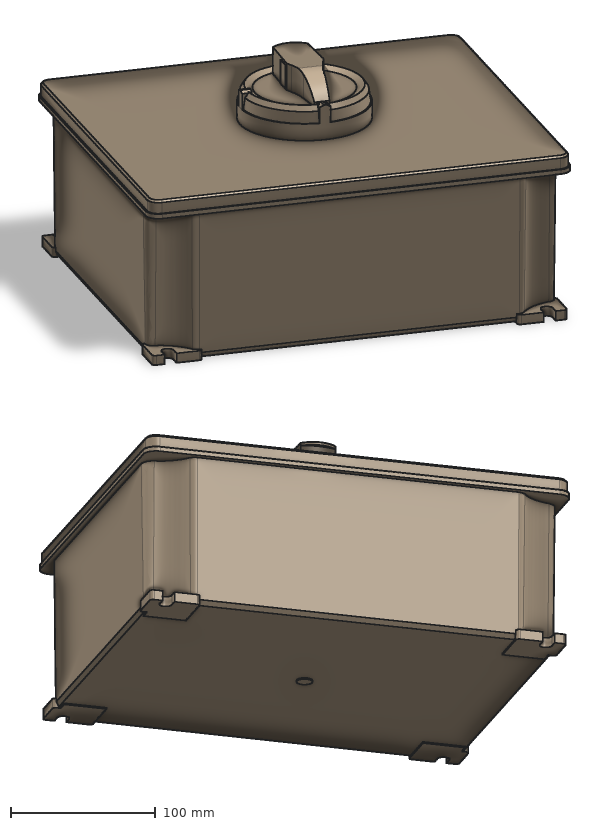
import cadquery as cq
import math

LENGTH_X = 257.0
LENGTH_Y = 307.2
HEIGHT = 163.0

LID_BOTTOM = 108.5
LID_TOP = 121.3
FLANGE_HEIGHT = 3.5
LID_INSET = 1.2
LID_CORNER_RADIUS = 9.2
LID_EDGE_CHAMFER = 1.5

BODY_HALF_X = 124.0
BODY_HALF_Y = 149.3
BODY_BOTTOM = 1.0
BODY_DRAFT = 1.2
BOTTOM_CHAMFER_DEPTH = 1.8
BOTTOM_CHAMFER_HEIGHT = 3.7

WALL_END_X = 100.5
WALL_END_Y = 115.5
FRONT_LIP_TOP = (108.7, 142.5)
FRONT_LIP_BOTTOM = (106.3, 142.5)
SIDE_LIP_TOP = (122.0, 121.0)
SIDE_LIP_BOTTOM = (120.7, 120.0)
HOLLOW_DEPTH = 2.5
FRONT_LIP_BULGE = 1.8
SIDE_LIP_BULGE = 0.5
CUTTER_MARGIN = 3.0

FOOT_OUTER_X = 125.5
FOOT_OUTER_Y = 150.2
FOOT_INNER_X = 100.0
FOOT_INNER_Y = 114.3
FOOT_HEIGHT = 7.0
FOOT_CORNER_RADIUS = 2.5
SLOT_Y = 137.3
SLOT_WIDTH = 8.5
SLOT_DEPTH = 11.0
PAD_INNER_X = 92.2
PAD_OUTER_Y = 145.0
CENTRE_PAD_DIAMETER = 11.0

COLLAR_RADIUS = 46.7
COLLAR_STEP_Z = 133.5
COLLAR_SHOULDER_Z = 142.0
COLLAR_TOP = 146.0
RING_BASE_RADIUS = 45.8
RING_SHOULDER_RADIUS = 44.5
RIM_RADIUS = 41.8
DIAL_RADIUS = 36.0
DIAL_DEPTH = 2.5
MARKER_WIDTH = 8.0
MARKER_INNER_RADIUS = 39.3
MARKER_EAVES_Z = 145.3
MARKER_TOP = 146.8
MARKER_RIDGE_WIDTH = 1.8

HANDLE_END_X = -34.5
HANDLE_LIP_X = -37.2
HANDLE_CORNER_X = -32.0
HANDLE_HALF_WIDTH = 12.5
HANDLE_LIP_HEIGHT = 2.0
SHOULDER_X = 1.5
NECK_X = 13.0
NECK_HALF_WIDTH = 8.3
NECK_FILLET = 46.0
NOSE_X = MARKER_INNER_RADIUS
NOSE_HALF_WIDTH = 5.5
NOSE_BULGE = 3.0
GRIP_START_X = -12.3
GRIP_END_X = -1.5
GRIP_THICKNESS = 1.0
GRIP_TOP_GAP = 2.0


def block(x_range, y_range, z_range):
    """Box spanning the given ranges."""
    sizes = [end - start for start, end in (x_range, y_range, z_range)]
    return cq.Workplane("XY").box(*sizes, centered=False).translate(
        (x_range[0], y_range[0], z_range[0])
    )


def in_four_corners(shape):
    """The shape from the +X +Y corner together with its mirror images."""
    pair = shape.union(shape.mirror("YZ"))
    return pair.union(pair.mirror("XZ"))


def bulged_middle(start, end, bulge):
    """Middle of an arc from start to end, bulging to the left of the chord."""
    run_x = end[0] - start[0]
    run_y = end[1] - start[1]
    chord = math.hypot(run_x, run_y)
    return (
        (start[0] + end[0]) / 2 - bulge * run_y / chord,
        (start[1] + end[1]) / 2 + bulge * run_x / chord,
    )


def make_lid():
    flange = (
        cq.Workplane("XY", origin=(0, 0, LID_BOTTOM))
        .rect(LENGTH_X, LENGTH_Y)
        .extrude(FLANGE_HEIGHT)
        .edges("|Z")
        .fillet(LID_CORNER_RADIUS)
    )
    cover = (
        cq.Workplane("XY", origin=(0, 0, LID_BOTTOM))
        .rect(LENGTH_X - 2 * LID_INSET, LENGTH_Y - 2 * LID_INSET)
        .extrude(LID_TOP - LID_BOTTOM)
        .edges("|Z")
        .fillet(LID_CORNER_RADIUS - LID_INSET)
        .faces(">Z")
        .edges()
        .chamfer(LID_EDGE_CHAMFER)
    )
    return flange.union(cover)


def corner_outline(height, inset, front_lip, side_lip):
    """Closed wire around the space outside the +X +Y body corner at one height."""
    wall_end_front = (WALL_END_X, BODY_HALF_Y - inset)
    wall_end_side = (BODY_HALF_X - inset, WALL_END_Y)
    outside_x = BODY_HALF_X + CUTTER_MARGIN
    outside_y = BODY_HALF_Y + CUTTER_MARGIN
    return (
        cq.Workplane("XY", origin=(0, 0, height))
        .moveTo(*wall_end_front)
        .threePointArc(bulged_middle(wall_end_front, front_lip, FRONT_LIP_BULGE), front_lip)
        .threePointArc(bulged_middle(front_lip, side_lip, -HOLLOW_DEPTH), side_lip)
        .threePointArc(bulged_middle(side_lip, wall_end_side, SIDE_LIP_BULGE), wall_end_side)
        .lineTo(outside_x, WALL_END_Y)
        .lineTo(outside_x, outside_y)
        .lineTo(WALL_END_X, outside_y)
        .close()
        .val()
    )


def corner_cutter():
    """Drafted block removing everything outside the scooped +X +Y body corner."""
    bottom = corner_outline(BODY_BOTTOM, BODY_DRAFT, FRONT_LIP_BOTTOM, SIDE_LIP_BOTTOM)
    top = corner_outline(LID_BOTTOM, 0, FRONT_LIP_TOP, SIDE_LIP_TOP)
    return cq.Workplane(cq.Solid.makeLoft([bottom, top], True))


def make_body():
    height = LID_BOTTOM - BODY_BOTTOM
    draft_angle = math.degrees(math.atan(BODY_DRAFT / height))
    box = (
        cq.Workplane("XY", origin=(0, 0, LID_BOTTOM))
        .rect(2 * BODY_HALF_X, 2 * BODY_HALF_Y)
        .extrude(-height, taper=draft_angle)
        .faces("<Z")
        .edges()
        .chamfer(BOTTOM_CHAMFER_HEIGHT, BOTTOM_CHAMFER_DEPTH)
    )
    return box.cut(in_four_corners(corner_cutter()))


def make_foot():
    """Foot at the +X +Y corner, its slot opening towards +X."""
    plate = (
        block((FOOT_INNER_X, FOOT_OUTER_X), (FOOT_INNER_Y, FOOT_OUTER_Y), (0, FOOT_HEIGHT))
        .edges("|Z")
        .fillet(FOOT_CORNER_RADIUS)
    )
    slot_end_x = FOOT_OUTER_X - SLOT_DEPTH
    slot_centre_x = slot_end_x + SLOT_WIDTH / 2
    slot = (
        cq.Workplane("XY")
        .center(slot_centre_x, SLOT_Y)
        .circle(SLOT_WIDTH / 2)
        .extrude(FOOT_HEIGHT)
        .union(
            block(
                (slot_centre_x, FOOT_OUTER_X),
                (SLOT_Y - SLOT_WIDTH / 2, SLOT_Y + SLOT_WIDTH / 2),
                (0, FOOT_HEIGHT),
            )
        )
    )
    pad_outer_x = FOOT_INNER_X + FOOT_CORNER_RADIUS
    pad = block((PAD_INNER_X, pad_outer_x), (FOOT_INNER_Y, PAD_OUTER_Y), (0, BODY_BOTTOM))
    return plate.union(pad).cut(slot)


def make_marker():
    """Radial marker rib along +X with a ridged top."""
    half_width = MARKER_WIDTH / 2
    half_ridge = MARKER_RIDGE_WIDTH / 2
    rib = (
        cq.Workplane("YZ", origin=(MARKER_INNER_RADIUS, 0, 0))
        .moveTo(-half_width, COLLAR_STEP_Z)
        .lineTo(half_width, COLLAR_STEP_Z)
        .lineTo(half_width, MARKER_EAVES_Z)
        .lineTo(half_ridge, MARKER_TOP)
        .lineTo(-half_ridge, MARKER_TOP)
        .lineTo(-half_width, MARKER_EAVES_Z)
        .close()
        .extrude(COLLAR_RADIUS - MARKER_INNER_RADIUS)
    )
    return rib.intersect(cq.Workplane("XY").circle(COLLAR_RADIUS).extrude(HEIGHT))


def make_collar():
    """Round switch base with a stepped ring and a dished dial."""
    body = (
        cq.Workplane("XZ")
        .moveTo(0, LID_BOTTOM)
        .lineTo(COLLAR_RADIUS, LID_BOTTOM)
        .lineTo(COLLAR_RADIUS, COLLAR_STEP_Z)
        .lineTo(RING_BASE_RADIUS, COLLAR_STEP_Z)
        .lineTo(RING_SHOULDER_RADIUS, COLLAR_SHOULDER_Z)
        .lineTo(RIM_RADIUS, COLLAR_TOP)
        .lineTo(DIAL_RADIUS, COLLAR_TOP - DIAL_DEPTH)
        .lineTo(0, COLLAR_TOP - DIAL_DEPTH)
        .close()
        .revolve(360, (0, 0, 0), (0, 1, 0))
    )
    marker = make_marker()
    for angle in (0, -90):
        body = body.union(marker.rotate((0, 0, 0), (0, 0, 1), angle))
    return body


def handle_plan(end_x, bottom, top):
    """Handle outline with a bowed end at end_x, extruded from bottom to top."""
    prism = (
        cq.Workplane("XY", origin=(0, 0, bottom))
        .moveTo(HANDLE_CORNER_X, -HANDLE_HALF_WIDTH)
        .lineTo(SHOULDER_X, -HANDLE_HALF_WIDTH - GRIP_THICKNESS)
        .lineTo(NECK_X, -NECK_HALF_WIDTH)
        .lineTo(NOSE_X, -NOSE_HALF_WIDTH)
        .lineTo(NOSE_X, NOSE_HALF_WIDTH)
        .lineTo(NECK_X, NECK_HALF_WIDTH)
        .lineTo(SHOULDER_X, HANDLE_HALF_WIDTH + GRIP_THICKNESS)
        .lineTo(HANDLE_CORNER_X, HANDLE_HALF_WIDTH)
        .threePointArc((end_x, 0), (HANDLE_CORNER_X, -HANDLE_HALF_WIDTH))
        .close()
        .extrude(top - bottom)
    )
    neck_points = [(NECK_X, side * NECK_HALF_WIDTH, bottom) for side in (-1, 1)]
    for point in neck_points:
        prism = prism.edges("|Z").edges(cq.NearestToPointSelector(point)).fillet(NECK_FILLET)
    return prism


def make_handle():
    bottom = COLLAR_TOP - DIAL_DEPTH
    stem = handle_plan(HANDLE_END_X, bottom, HEIGHT)
    lip = handle_plan(HANDLE_LIP_X, HEIGHT - HANDLE_LIP_HEIGHT, HEIGHT)
    slope_start = (NECK_X, HEIGHT)
    slope_end = (NOSE_X, MARKER_TOP)
    side_profile = (
        cq.Workplane("XZ")
        .moveTo(HANDLE_LIP_X, bottom)
        .lineTo(HANDLE_LIP_X, HEIGHT)
        .lineTo(*slope_start)
        .threePointArc(bulged_middle(slope_start, slope_end, NOSE_BULGE), slope_end)
        .lineTo(NOSE_X, bottom)
        .close()
        .extrude(COLLAR_RADIUS, both=True)
    )
    grip_half_width = HANDLE_HALF_WIDTH + GRIP_THICKNESS
    grips = block(
        (GRIP_START_X, GRIP_END_X),
        (-grip_half_width, grip_half_width),
        (bottom, HEIGHT - GRIP_TOP_GAP),
    )
    return stem.union(lip).intersect(side_profile).union(grips)


centre_pad = cq.Workplane("XY").circle(CENTRE_PAD_DIAMETER / 2).extrude(BODY_BOTTOM)

result = (
    make_body()
    .union(make_lid())
    .union(in_four_corners(make_foot()))
    .union(centre_pad)
    .union(make_collar())
    .union(make_handle())
)